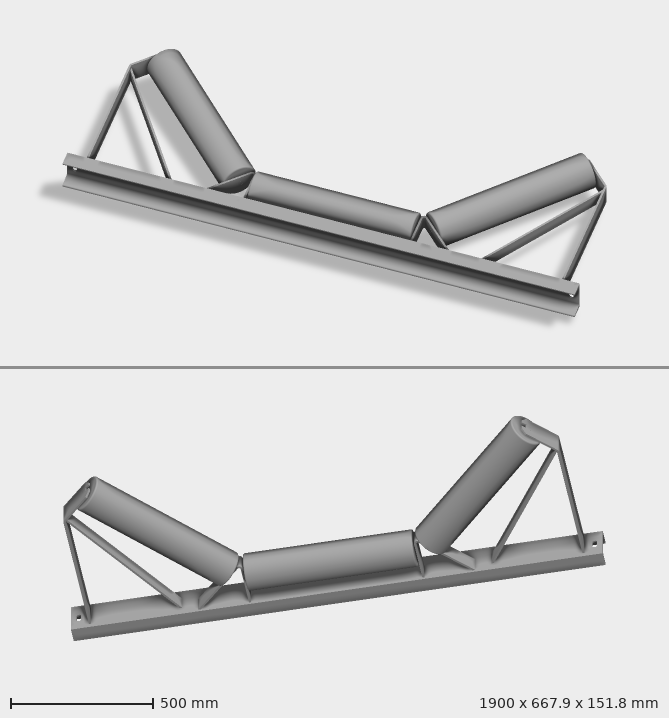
import cadquery as cq
import math

BEAM_LENGTH = 1900.0
BEAM_HEIGHT = 120.0
FLANGE_WIDTH = 55.0
WEB_THICKNESS = 6.6
FLANGE_THICKNESS = 9.0
FLANGE_SLOPE = 0.08
FLANGE_ROOT_RADIUS = 8.0
FLANGE_TIP_RADIUS = 4.0

OUTER_Z = -4.0

SLOT_WIDTH = 17.0
SLOT_HEIGHT = 35.0
SLOT_END_DISTANCE = 28.0

STRIP_THICKNESS = 8.0
INNER_STRIP_HEIGHT = 57.0
OUTER_STRIP_HEIGHT = 80.0
BEND_RADIUS = 10.0
TROUGH_ANGLE = 45.0
INNER_POST_X = 310.0
INNER_CORNER_Y = 180.0
OUTER_POST_X = 882.0
OUTER_CORNER_Y = 483.0
OUTER_ARM_LENGTH = 155.0
ARM_CHAMFER = 19.0

BRACE_HEIGHT = 50.0
BRACE_FOOT_X = 557.0

ROLLER_DIAMETER = 133.0
ROLLER_LENGTH = 605.0
ROLLER_EDGE_RADIUS = 5.0
AXLE_WIDTH = 23.0
AXLE_HEIGHT = 17.0
CENTRE_ROLLER_Y = 115.0
CENTRE_ROLLER_Z = -23.0
WING_OFFSET = 155.0
WING_RISE = 19.0

SIDES = (-1, 1)
trough = math.radians(TROUGH_ANGLE)
OUTWARD = cq.Vector(math.cos(trough), math.sin(trough), 0)
ACROSS = cq.Vector(math.sin(trough), -math.cos(trough), 0)


def mirrored(body, side):
    """Return the body built at +X, or its mirror image when side is -1."""
    return body if side > 0 else body.mirror("YZ")


def trimmed_at_web(body):
    """Cut away what reaches past the back of the beam web, on the -Y side."""
    beam_space = cq.Workplane("XY").box(BEAM_LENGTH, FLANGE_WIDTH, BEAM_HEIGHT)
    return body.cut(beam_space.translate((0, -FLANGE_WIDTH / 2, 0)))


def make_beam():
    """Channel with tapered flanges and a mounting slot near each end."""
    half_height = BEAM_HEIGHT / 2
    half_taper = FLANGE_SLOPE * FLANGE_WIDTH / 2
    tip_z = half_height - FLANGE_THICKNESS + half_taper
    root_z = half_height - FLANGE_THICKNESS - half_taper + FLANGE_SLOPE * WEB_THICKNESS
    profile = [
        (0, -half_height),
        (0, half_height),
        (-FLANGE_WIDTH, half_height),
        (-FLANGE_WIDTH, tip_z),
        (-WEB_THICKNESS, root_z),
        (-WEB_THICKNESS, -root_z),
        (-FLANGE_WIDTH, -tip_z),
        (-FLANGE_WIDTH, -half_height),
    ]
    end = cq.Workplane("YZ", origin=(-BEAM_LENGTH / 2, 0, 0))
    beam = end.polyline(profile).close().extrude(BEAM_LENGTH)
    for z in (-root_z, root_z):
        root = cq.selectors.NearestToPointSelector((0, -WEB_THICKNESS, z))
        beam = beam.edges("|X").edges(root).fillet(FLANGE_ROOT_RADIUS)
    for z in (-tip_z, tip_z):
        tip = cq.selectors.NearestToPointSelector((0, -FLANGE_WIDTH, z))
        beam = beam.edges("|X").edges(tip).fillet(FLANGE_TIP_RADIUS)
    slot_x = BEAM_LENGTH / 2 - SLOT_END_DISTANCE
    slots = (
        cq.Workplane("XZ")
        .pushPoints([(side * slot_x, OUTER_Z) for side in SIDES])
        .slot2D(SLOT_HEIGHT, SLOT_WIDTH, 90)
        .extrude(WEB_THICKNESS)
    )
    return beam.cut(slots)


def make_bent_strip(post_x, corner_y, turn_degrees, arm_length, height):
    """Strip rising from the beam along Y, then bent clockwise into a straight arm."""
    turn = math.radians(turn_degrees)
    setback = BEND_RADIUS * math.tan(abs(turn) / 2)
    direction = (math.sin(turn), math.cos(turn))
    bend_end = (post_x + setback * direction[0], corner_y + setback * direction[1])
    arm_end = (post_x + arm_length * direction[0], corner_y + arm_length * direction[1])
    path = (
        cq.Workplane("XY")
        .moveTo(post_x, 0)
        .lineTo(post_x, corner_y - setback)
        .tangentArcPoint(bend_end, relative=False)
        .lineTo(*arm_end)
    )
    section = cq.Workplane("XZ").center(post_x, 0).rect(STRIP_THICKNESS, height)
    return section.sweep(path)


INNER_LEG_DISTANCE = OUTWARD.dot(cq.Vector(INNER_POST_X, INNER_CORNER_Y, 0))
OUTER_ARM_DISTANCE = OUTWARD.dot(cq.Vector(OUTER_POST_X, OUTER_CORNER_Y, 0))
WING_MIDDLE = (INNER_LEG_DISTANCE + OUTER_ARM_DISTANCE) / 2
WING_SPAN = OUTER_ARM_DISTANCE - INNER_LEG_DISTANCE + STRIP_THICKNESS
WING_TILT = math.asin(WING_RISE / ROLLER_LENGTH)
WING_MIDDLE_Z = CENTRE_ROLLER_Z + WING_RISE / 2


def wing_plane(distance):
    """Plane square to the tilted wing axle where it crosses a bracket; local X runs across."""
    from_middle = distance - WING_MIDDLE
    z = WING_MIDDLE_Z + from_middle * math.tan(WING_TILT)
    return cq.Plane(
        origin=OUTWARD * distance + ACROSS * WING_OFFSET + cq.Vector(0, 0, z),
        xDir=ACROSS,
        normal=OUTWARD + cq.Vector(0, 0, math.tan(WING_TILT)),
    )


def make_inner_bracket():
    """Post beside the centre roller, bent over into a leg beside the wing roller."""
    leg_length = INNER_CORNER_Y / math.cos(trough)
    bracket = make_bent_strip(
        INNER_POST_X,
        INNER_CORNER_Y,
        180 - TROUGH_ANGLE,
        leg_length + STRIP_THICKNESS,
        INNER_STRIP_HEIGHT,
    ).translate((0, 0, CENTRE_ROLLER_Z))
    bracket = trimmed_at_web(bracket)
    post_hole = (
        cq.Workplane("YZ", origin=(INNER_POST_X, CENTRE_ROLLER_Y, CENTRE_ROLLER_Z))
        .rect(AXLE_WIDTH, AXLE_HEIGHT)
        .extrude(STRIP_THICKNESS, both=True)
    )
    leg_hole = (
        cq.Workplane(wing_plane(INNER_LEG_DISTANCE))
        .rect(AXLE_WIDTH, AXLE_HEIGHT)
        .extrude(STRIP_THICKNESS, both=True)
    )
    return bracket.cut(post_hole).cut(leg_hole)


def make_outer_bracket():
    """Post bent inwards into an arm with a chamfered end and an open axle slot."""
    bracket = make_bent_strip(
        OUTER_POST_X, OUTER_CORNER_Y, -TROUGH_ANGLE, OUTER_ARM_LENGTH, OUTER_STRIP_HEIGHT
    ).translate((0, 0, OUTER_Z))
    arm_end = bracket.faces(cq.selectors.DirectionMinMaxSelector(-ACROSS, True))
    bracket = arm_end.edges("not |Z").edges(">Z or <Z").chamfer(ARM_CHAMFER)
    slot_length = OUTER_ARM_LENGTH / 2
    slot = (
        cq.Workplane(wing_plane(OUTER_ARM_DISTANCE))
        .center((AXLE_WIDTH - slot_length) / 2, 0)
        .rect(slot_length, AXLE_HEIGHT)
        .extrude(STRIP_THICKNESS, both=True)
    )
    return bracket.cut(slot)


def make_brace(outer_bracket):
    """Flat strip from the beam to the bend of the outer bracket."""
    run = OUTER_POST_X - BRACE_FOOT_X
    length = math.hypot(run, OUTER_CORNER_Y)
    lean = math.degrees(math.atan2(OUTER_CORNER_Y, run))
    brace = (
        cq.Workplane("XY")
        .box(length + STRIP_THICKNESS, STRIP_THICKNESS, BRACE_HEIGHT)
        .translate((length / 2 - STRIP_THICKNESS / 2, 0, 0))
        .rotate((0, 0, 0), (0, 0, 1), lean)
        .translate((BRACE_FOOT_X, 0, OUTER_Z))
    )
    return trimmed_at_web(brace).cut(outer_bracket)


def make_roller(span):
    """Roller along X about the origin with axle ends reaching over the span."""
    drum = (
        cq.Workplane("YZ", origin=(-ROLLER_LENGTH / 2, 0, 0))
        .circle(ROLLER_DIAMETER / 2)
        .extrude(ROLLER_LENGTH)
        .edges()
        .fillet(ROLLER_EDGE_RADIUS)
    )
    axle = cq.Workplane("XY").box(span, AXLE_WIDTH, AXLE_HEIGHT)
    return drum.union(axle)


def make_centre_roller():
    """Level roller between the two inner posts."""
    span = 2 * INNER_POST_X + STRIP_THICKNESS
    return make_roller(span).translate((0, CENTRE_ROLLER_Y, CENTRE_ROLLER_Z))


def make_wing_roller():
    """Roller sloped outwards in plan, its outer end slightly raised in Z."""
    middle = OUTWARD * WING_MIDDLE + ACROSS * WING_OFFSET + cq.Vector(0, 0, WING_MIDDLE_Z)
    return (
        make_roller(WING_SPAN)
        .rotate((0, 0, 0), (0, 1, 0), -math.degrees(WING_TILT))
        .rotate((0, 0, 0), (0, 0, 1), TROUGH_ANGLE)
        .translate(middle)
    )


beam = make_beam()
centre_roller = make_centre_roller()
right_inner_bracket = make_inner_bracket()
right_outer_bracket = make_outer_bracket()
right_brace = make_brace(right_outer_bracket)
right_wing_roller = make_wing_roller()

bodies = [beam.val(), centre_roller.val()]
for side in SIDES:
    for body in (right_inner_bracket, right_outer_bracket, right_brace, right_wing_roller):
        bodies.append(mirrored(body, side).val())

result = cq.Compound.makeCompound(bodies)